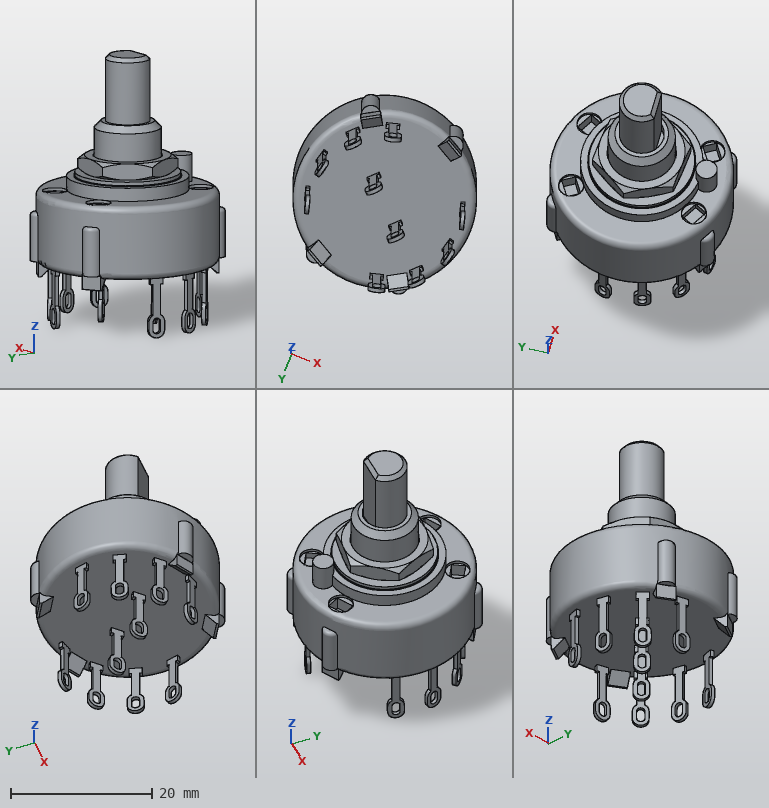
import cadquery as cq
import math


total_height = 38.8
shoulder_end_z = 7.75
body_bottom_z = 8.8
body_top_z = 19.35
flange_top_z = 21.25
washer_top_z = 21.9
nut_top_z = 24.25
bushing_top_z = 29.25

body_diameter = 26.0
body_flat_diameter = 24.0
body_edge_radius = (body_diameter - body_flat_diameter) / 2
flange_diameter = 17.35

seat_diameter = 15.3
seat_thickness = 0.1
washer_diameter = 15.0
nut_across_flats = 12.25
nut_turn = -6.5
nut_bevel_angle = 30.0
nut_bore_diameter = 9.78

bushing_diameter = 9.5
bushing_chamfer = 0.97
shaft_diameter = 6.35
shaft_flat_distance = 2.35
shaft_flat_start_z = bushing_top_z - 1.55
shaft_chamfer = 0.6

pin_diameter = 3.0
pin_distance = 9.45
pin_top_z = 23.28

hook_angles = (60, 120, 240, 300)
hook_hole_distance = 10.35
hook_recess_diameter = 3.55
hook_recess_depth = 0.43
hook_slot_length = 2.75
hook_slot_width = 2.0
hook_slot_depth = 1.95
shallow_slot_angle = 240
shallow_slot_depth = 0.97
rib_diameter = 2.7
rib_distance = 12.55
rib_top_z = 16.35
rib_top_radius = 0.55
foot_width = 2.87
foot_face_distance = 12.85
foot_bottom_z = 7.18
foot_top_z = 9.3
foot_tip_thickness = 0.35

group_angles = (45, 225)
contact_offsets = (-60, -30, 0, 30)
contact_distance = 11.0
common_distance = 3.8
terminal_thickness = 0.6
stem_width = 1.15
shoulder_width = 1.9
eye_radius = 1.2
eye_hole_radius = 0.6
eye_straight = 1.1
terminal_embed = 0.4


def disc(diameter, bottom_z, top_z):
    return cq.Workplane("XY").workplane(offset=bottom_z).circle(diameter / 2).extrude(top_z - bottom_z)


def at_angle(shape, angle):
    """Turn a shape built on the +X side to its angle around the axis."""
    return shape.rotate((0, 0, 0), (0, 0, 1), angle)


def make_housing():
    body = disc(body_diameter, body_bottom_z, body_top_z).edges().fillet(body_edge_radius)
    flange = disc(flange_diameter, body_top_z - body_edge_radius, flange_top_z)
    seat_top_z = flange_top_z + seat_thickness
    seat = disc(seat_diameter, flange_top_z, seat_top_z)
    washer = disc(washer_diameter, seat_top_z, washer_top_z)
    pin = disc(pin_diameter, body_top_z - body_edge_radius, pin_top_z).translate((0, -pin_distance, 0))
    return body.union(flange).union(seat).union(washer).union(pin)


def make_nut():
    """Bored hexagon nut whose corners are bevelled by cones at both ends."""
    height = nut_top_z - washer_top_z
    flat_radius = nut_across_flats / 2
    corner_radius = flat_radius / math.cos(math.radians(30))
    bevel_drop = (corner_radius - flat_radius) * math.tan(math.radians(nut_bevel_angle))
    hexagon = cq.Workplane("XY").polygon(6, 2 * corner_radius).extrude(height)
    bevels = (
        cq.Workplane("XZ")
        .moveTo(0, 0)
        .lineTo(flat_radius, 0)
        .lineTo(corner_radius, bevel_drop)
        .lineTo(corner_radius, height - bevel_drop)
        .lineTo(flat_radius, height)
        .lineTo(0, height)
        .close()
        .revolve(360, (0, 0, 0), (0, 1, 0))
    )
    bore = cq.Workplane("XY").circle(nut_bore_diameter / 2).extrude(height)
    return at_angle(hexagon.intersect(bevels).cut(bore), nut_turn).translate((0, 0, washer_top_z))


def make_bushing():
    """Chamfered bushing, bored at its top to let the flat of the shaft run down inside it."""
    bushing = disc(bushing_diameter, flange_top_z, bushing_top_z).faces(">Z").chamfer(bushing_chamfer)
    return bushing.cut(disc(shaft_diameter, shaft_flat_start_z, bushing_top_z))


def make_shaft():
    """Round shaft with one flat facing -Y, chamfered around its top."""
    flat_cut = (
        cq.Workplane("XY")
        .workplane(offset=shaft_flat_start_z)
        .center(0, -shaft_flat_distance - shaft_diameter / 2)
        .rect(shaft_diameter, shaft_diameter)
        .extrude(total_height - shaft_flat_start_z)
    )
    shaft = disc(shaft_diameter, shaft_flat_start_z, total_height).cut(flat_cut)
    return shaft.faces(">Z").chamfer(shaft_chamfer)


def make_hook_hole(slot_depth):
    """Round recess with a rectangular slot sunk into its floor."""
    recess_floor_z = body_top_z - hook_recess_depth
    recess = disc(hook_recess_diameter, recess_floor_z, body_top_z)
    slot = (
        cq.Workplane("XY")
        .workplane(offset=recess_floor_z - slot_depth)
        .rect(hook_slot_width, hook_slot_length)
        .extrude(slot_depth)
    )
    return recess.union(slot).translate((hook_hole_distance, 0, 0))


def make_rib():
    rib = disc(rib_diameter, foot_top_z, rib_top_z).faces(">Z").edges().fillet(rib_top_radius)
    return rib.translate((rib_distance, 0, 0))


def make_foot():
    """Block below the rib whose inner side slopes at 45 degrees up into the housing."""
    tip_x = foot_face_distance - foot_tip_thickness
    slope_run = foot_top_z - foot_bottom_z
    return (
        cq.Workplane("XZ")
        .moveTo(foot_face_distance, foot_top_z)
        .lineTo(foot_face_distance, foot_bottom_z)
        .lineTo(tip_x, foot_bottom_z)
        .lineTo(tip_x - slope_run, foot_top_z)
        .close()
        .extrude(foot_width / 2, both=True)
    )


def make_terminal(distance):
    """Flat terminal facing outward: shoulder, stem and an eye with a slotted hole."""
    eye_centre_z = eye_radius + eye_straight / 2
    top_z = body_bottom_z + terminal_embed

    def blade(outline):
        return outline.extrude(terminal_thickness / 2, both=True)

    def strip(width, bottom_z):
        height = top_z - bottom_z
        return blade(cq.Workplane("YZ").center(0, bottom_z + height / 2).rect(width, height))

    def slot(radius):
        outline = cq.Workplane("YZ").center(0, eye_centre_z)
        return blade(outline.slot2D(eye_straight + 2 * radius, 2 * radius, 90))

    terminal = strip(shoulder_width, shoulder_end_z)
    terminal = terminal.union(strip(stem_width, eye_centre_z)).union(slot(eye_radius))
    return terminal.cut(slot(eye_hole_radius)).translate((distance, 0, 0))


result = make_housing().union(make_nut()).union(make_bushing()).union(make_shaft())

for angle in hook_angles:
    slot_depth = shallow_slot_depth if angle == shallow_slot_angle else hook_slot_depth
    result = result.cut(at_angle(make_hook_hole(slot_depth), angle))
    result = result.union(at_angle(make_rib(), angle)).union(at_angle(make_foot(), angle))

for group_angle in group_angles:
    result = result.union(at_angle(make_terminal(common_distance), group_angle))
    for offset in contact_offsets:
        result = result.union(at_angle(make_terminal(contact_distance), group_angle + offset))